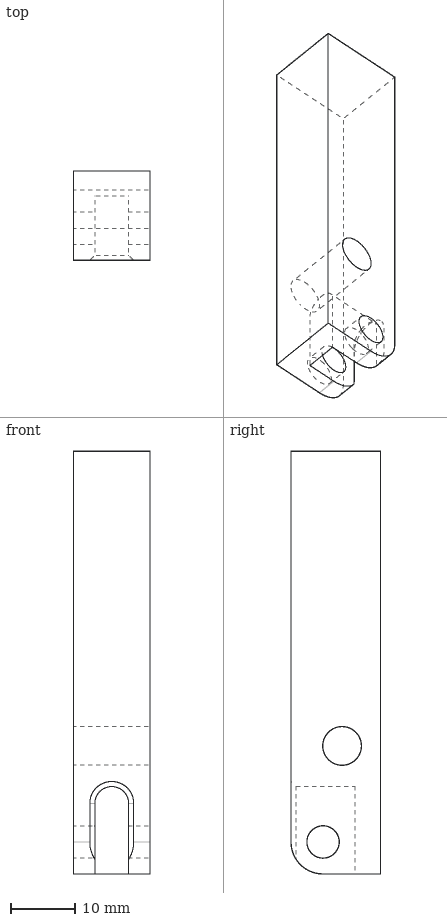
import cadquery as cq

width = 12.0
depth = 14.0
height = 66.0

nose_radius = 5.0
pivot_diameter = 5.0

cross_diameter = 6.0
cross_y = 8.0
cross_z = 20.0

slot_width = 5.3
slot_depth = 10.0
slot_arc_z = 11.0
slot_chamfer = 0.8


def cross_hole(diameter, y, z):
    """Cylinder running along X through the full width."""
    return (
        cq.Workplane("YZ", origin=(-width / 2, y, z))
        .circle(diameter / 2)
        .extrude(width)
    )


def slot_profile(half_width):
    """Closed outline on the front face with a semicircular top."""
    base_z = -half_width
    return (
        cq.Workplane("XZ")
        .moveTo(-half_width, base_z)
        .lineTo(-half_width, slot_arc_z)
        .threePointArc((0, slot_arc_z + half_width), (half_width, slot_arc_z))
        .lineTo(half_width, base_z)
        .close()
    )


body = cq.Workplane("XY").box(width, depth, height, centered=(True, False, False))
body = body.edges("|X and <Y and <Z").fillet(nose_radius)

slot = slot_profile(slot_width / 2).extrude(-slot_depth)
mouth = slot_profile(slot_width / 2 + slot_chamfer).extrude(-slot_chamfer, taper=45)

pivot_hole = cross_hole(pivot_diameter, nose_radius, nose_radius)
upper_hole = cross_hole(cross_diameter, cross_y, cross_z)

result = body.cut(slot).cut(mouth).cut(pivot_hole).cut(upper_hole)